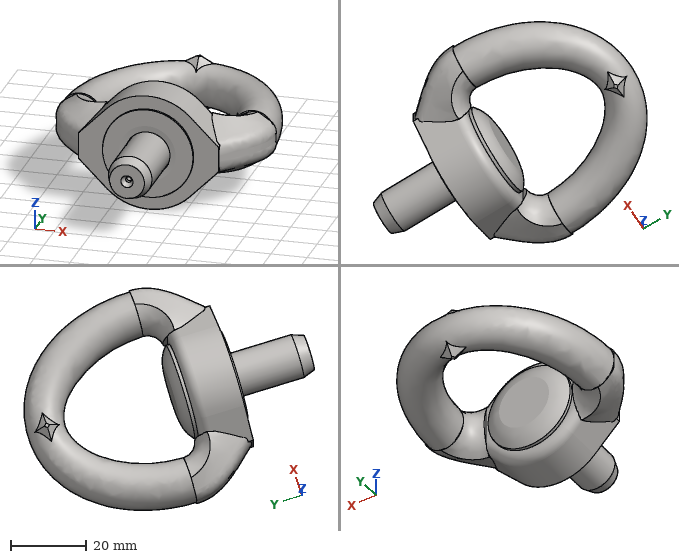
import cadquery as cq
import math


hub_radius = 16.2
hub_height = 13.5
hub_half_length = 19.4
hub_top_fillet = 3.0

bend_level = 19.2
bow_outer_half_width = 30.0
bow_outer_rise = 37.55
bow_outer_exponent = 2.05
bow_inner_half_width = 17.7
bow_inner_rise = 27.2
bow_inner_exponent = 1.85
bow_half_thickness_bend = 7.2
bow_half_thickness_crown = 6.0
bow_section_step = 15

leg_inner_radius = 4.5
leg_outer_flat = 0.9
leg_corner_depth_bend = 1.7
leg_corner_depth_hub = 2.8
leg_corner_half_thickness = 4.9
leg_corner_depth_fraction = 0.25
leg_corner_height_fraction = 0.67
leg_shoulder_radius_bend = 11.75
leg_shoulder_radius_hub = 7.85
leg_shoulder_half_thickness_bend = 7.0
leg_shoulder_half_thickness_hub = 8.7
leg_slope_angle = -40
leg_end_angle = -80
leg_section_step = 20
leg_pivot_x = bow_inner_half_width - leg_inner_radius

marker_height = 7.9
marker_base_level = 3.9
marker_tip_half_width = 0.7
marker_base_half_length = 7.9
marker_base_half_width = 3.9

axle_diameter = 25.0
axle_protrusion = 0.7
cap_diameter = 26.0
cap_rim_height = 0.95
cap_top_level = 16.8
cap_top_radius = 7.9
cap_shoulder_radius = 11.3
cap_shoulder_drop = 1.1
stud_hole_diameter = 12.2
countersink_diameter = 15.6
countersink_depth = 0.15

stud_diameter = 12.0
stud_exposed_length = 20.9
stud_point_length = 3.3
stud_point_diameter = 9.65
center_hole_diameter = 1.6
center_countersink_diameter = 3.4
center_countersink_depth = 1.6
center_hole_depth = 2.75
center_cone_depth = 0.5


def blend(start, end, progress):
    return start + progress * (end - start)


def superellipse_point(half_width, rise, exponent, angle):
    """Point on a superellipse that stands on the level of the bends."""
    cosine = math.cos(angle)
    x = math.copysign(half_width * abs(cosine) ** (2 / exponent), cosine)
    y = bend_level + rise * abs(math.sin(angle)) ** (2 / exponent)
    return cq.Vector(x, y, 0)


def bow_section(angle):
    """Elliptical cross-section of the bow; 0 and 180 degrees are the two bends."""
    turn = math.radians(angle)
    outer = superellipse_point(bow_outer_half_width, bow_outer_rise, bow_outer_exponent, turn)
    inner = superellipse_point(bow_inner_half_width, bow_inner_rise, bow_inner_exponent, turn)
    across = outer - inner
    half_thickness = blend(bow_half_thickness_bend, bow_half_thickness_crown, math.sin(turn))
    plane = cq.Plane(origin=(outer + inner) / 2, xDir=across, normal=across.cross(cq.Vector(0, 0, 1)))
    return cq.Workplane(plane).ellipse(across.Length / 2, half_thickness).val()


def make_bow():
    sections = [bow_section(angle) for angle in range(0, 181, bow_section_step)]
    return cq.Workplane(obj=cq.Solid.makeLoft(sections))


def leg_section(angle, outer_radius, corner_depth, shoulder_radius, shoulder_half_thickness):
    """Cross-section of the right leg in a plane turned about the centre of its inner bend."""
    turn = math.radians(angle)
    across = cq.Vector(math.cos(turn), math.sin(turn), 0)
    plane = cq.Plane(
        origin=(leg_pivot_x, bend_level, 0),
        xDir=across,
        normal=across.cross(cq.Vector(0, 0, 1)),
    )
    corner_radius = outer_radius - corner_depth
    middle_radius = outer_radius - leg_corner_depth_fraction * corner_depth
    middle_half_thickness = blend(leg_outer_flat, leg_corner_half_thickness, leg_corner_height_fraction)
    return (
        cq.Workplane(plane)
        .moveTo(outer_radius, -leg_outer_flat)
        .lineTo(outer_radius, leg_outer_flat)
        .threePointArc((middle_radius, middle_half_thickness), (corner_radius, leg_corner_half_thickness))
        .lineTo(shoulder_radius, shoulder_half_thickness)
        .threePointArc((leg_inner_radius, 0), (shoulder_radius, -shoulder_half_thickness))
        .lineTo(corner_radius, -leg_corner_half_thickness)
        .threePointArc((middle_radius, -middle_half_thickness), (outer_radius, -leg_outer_flat))
        .close()
        .val()
    )


def make_leg():
    """Right leg: its outer side turns round the bend into a straight slope down to the hub."""
    bend_radius = bow_outer_half_width - leg_pivot_x
    sections = []
    for angle in range(0, leg_end_angle - 1, -leg_section_step):
        progress = angle / leg_end_angle
        slope_turn = min(0, angle - leg_slope_angle)
        outer_radius = bend_radius / math.cos(math.radians(slope_turn))
        corner_depth = blend(leg_corner_depth_bend, leg_corner_depth_hub, progress)
        shoulder = blend(leg_shoulder_radius_bend, leg_shoulder_radius_hub, progress)
        half_thickness = blend(leg_shoulder_half_thickness_bend, leg_shoulder_half_thickness_hub, progress)
        sections.append(leg_section(angle, outer_radius, corner_depth, shoulder, half_thickness))
    leg = cq.Workplane(obj=cq.Solid.makeLoft(sections))
    keep_width = 4 * bow_outer_half_width
    above_lower_face = cq.Workplane("XZ").rect(keep_width, keep_width).extrude(-keep_width)
    return leg.intersect(above_lower_face)


def make_hub():
    """Round hub with 45 degree tangent sides running out to a flat at each end."""
    tangent = hub_radius / math.sqrt(2)
    flat = hub_radius * math.sqrt(2) - hub_half_length
    return (
        cq.Workplane("XZ")
        .moveTo(tangent, tangent)
        .threePointArc((0, hub_radius), (-tangent, tangent))
        .lineTo(-hub_half_length, flat)
        .lineTo(-hub_half_length, -flat)
        .lineTo(-tangent, -tangent)
        .threePointArc((0, -hub_radius), (tangent, -tangent))
        .lineTo(hub_half_length, -flat)
        .lineTo(hub_half_length, flat)
        .close()
        .extrude(-hub_height)
        .faces(">Y")
        .edges()
        .fillet(hub_top_fillet)
    )


def make_marker():
    """Four-sided pyramid with a blunt tip on the upper face of the crown."""
    crown_y = bend_level + (bow_outer_rise + bow_inner_rise) / 2

    def diamond(level, half_length, half_width):
        corners = [(half_length, 0), (0, half_width), (-half_length, 0), (0, -half_width)]
        plane = cq.Plane(origin=(0, crown_y, level))
        return cq.Workplane(plane).polyline(corners).close().val()

    base = diamond(marker_base_level, marker_base_half_length, marker_base_half_width)
    tip = diamond(marker_height, marker_tip_half_width, marker_tip_half_width)
    return cq.Workplane(obj=cq.Solid.makeLoft([base, tip], True))


def make_eye():
    leg = make_leg()
    marker = make_marker()
    body = make_bow().union(make_hub())
    body = body.union(leg).union(leg.mirror("YZ"))
    body = body.union(marker).union(marker.mirror("XY"))
    axle_bore = cq.Workplane("XZ").circle(axle_diameter / 2).extrude(-hub_height)
    cap_room = (
        cq.Workplane("XZ", origin=(0, hub_height, 0))
        .circle(cap_diameter / 2)
        .extrude(hub_height - bend_level)
    )
    return cq.Workplane(obj=body.cut(axle_bore).cut(cap_room).solids().val())


def make_axle():
    """Axle with a domed cap above the hub and a blind countersunk hole for the stud."""
    axle_radius = axle_diameter / 2
    cap_radius = cap_diameter / 2
    hole_radius = stud_hole_diameter / 2
    return (
        cq.Workplane("XY")
        .moveTo(0, hub_height)
        .lineTo(hole_radius, hub_height)
        .lineTo(hole_radius, countersink_depth - axle_protrusion)
        .lineTo(countersink_diameter / 2, -axle_protrusion)
        .lineTo(axle_radius, -axle_protrusion)
        .lineTo(axle_radius, hub_height)
        .lineTo(cap_radius, hub_height)
        .lineTo(cap_radius, hub_height + cap_rim_height)
        .threePointArc(
            (cap_shoulder_radius, cap_top_level - cap_shoulder_drop),
            (cap_top_radius, cap_top_level),
        )
        .lineTo(0, cap_top_level)
        .close()
        .revolve(360, (0, 0, 0), (0, 1, 0))
    )


def make_stud():
    """Plain stud with a tapered point and a centre hole in its free end."""
    tip_level = -axle_protrusion - stud_exposed_length
    return (
        cq.Workplane("XY")
        .moveTo(0, hub_height)
        .lineTo(stud_diameter / 2, hub_height)
        .lineTo(stud_diameter / 2, tip_level + stud_point_length)
        .lineTo(stud_point_diameter / 2, tip_level)
        .lineTo(center_countersink_diameter / 2, tip_level)
        .lineTo(center_hole_diameter / 2, tip_level + center_countersink_depth)
        .lineTo(center_hole_diameter / 2, tip_level + center_hole_depth)
        .lineTo(0, tip_level + center_hole_depth + center_cone_depth)
        .close()
        .revolve(360, (0, 0, 0), (0, 1, 0))
    )


eye = make_eye()
axle = make_axle()
stud = make_stud()
result = cq.Compound.makeCompound([eye.val(), axle.val(), stud.val()])